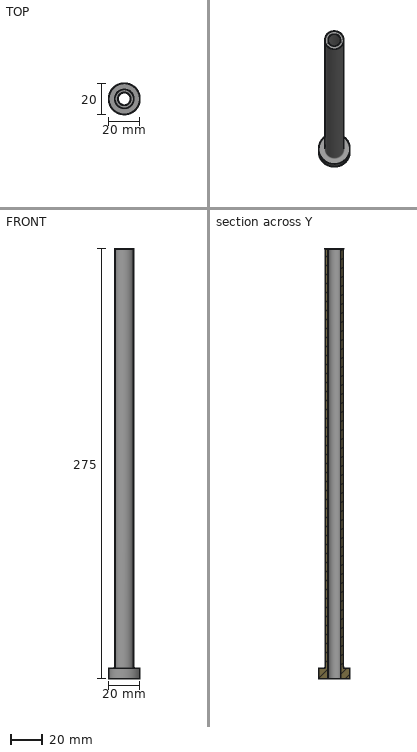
import cadquery as cq

total_length = 275.0
head_diameter = 20.0
head_height = 7.0
shank_diameter = 12.0
bore_diameter = 8.0
neck_fillet = 0.8

head = cq.Workplane("XY").circle(head_diameter / 2).extrude(head_height)
shank = cq.Workplane("XY").circle(shank_diameter / 2).extrude(total_length)
body = head.union(shank)

neck_reach = shank_diameter / 2 + neck_fillet
neck_zone = cq.selectors.BoxSelector(
    (-neck_reach, -neck_reach, head_height - neck_fillet),
    (neck_reach, neck_reach, head_height + neck_fillet),
    boundingbox=True,
)
body = body.edges(neck_zone).fillet(neck_fillet)

bore = cq.Workplane("XY").circle(bore_diameter / 2).extrude(total_length)
result = body.cut(bore)